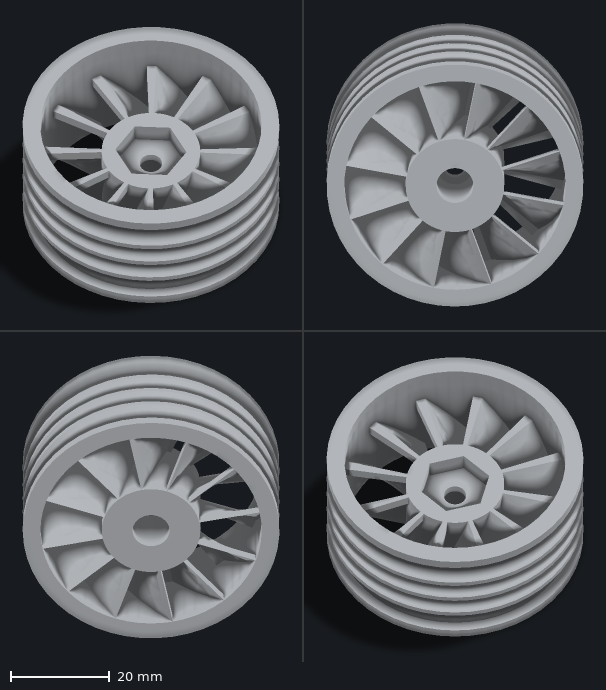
import cadquery as cq
import math

rim_diameter = 52.0
rim_width = 25.0
bore_diameter = 44.8
root_diameter = 48.0
flange_width = 2.05
rib_count = 3
rib_pitch = 5.0
rib_width = 1.1
rib_cone_depth = 1.2
rib_fillet_radius = 1.45
last_fillet_end = 2.9

hub_diameter = 19.95
hub_recess = 8.0
socket_across_flats = 12.5
socket_depth = 4.0
axle_diameter = 4.5
hub_bore_diameter = 7.5
axle_wall = 1.6

blade_count = 12
blade_bar_angle = 5.0
blade_thickness = 2.05
blade_overlap = 0.8
trim_margin = 0.5

rim_radius = rim_diameter / 2
root_radius = root_diameter / 2
bore_radius = bore_diameter / 2
groove_depth = rim_radius - root_radius
hub_height = rim_width - hub_recess


def make_rim():
    """Revolve the rim section, drawn from the top flange down to the bottom one."""
    top_rib_top = rim_width / 2 + (rib_count - 1) / 2 * rib_pitch + rib_width / 2
    cone_radius = rim_radius - rib_cone_depth
    upper_cone_top = rim_width - flange_width

    section = (
        cq.Workplane("XZ")
        .moveTo(bore_radius, rim_width)
        .lineTo(rim_radius, rim_width)
        .lineTo(rim_radius, upper_cone_top)
        .lineTo(root_radius, upper_cone_top - groove_depth)
        .lineTo(root_radius, top_rib_top + rib_fillet_radius)
    )
    for rib in range(rib_count):
        rib_top = top_rib_top - rib * rib_pitch
        rib_bottom = rib_top - rib_width
        if rib < rib_count - 1:
            fillet_end = rib_top - rib_pitch + rib_fillet_radius
        else:
            fillet_end = rib_bottom - last_fillet_end
        section = add_rib_fillet(section, rib_top)
        section = section.lineTo(rim_radius, rib_top)
        section = section.lineTo(rim_radius, rib_bottom)
        section = section.lineTo(cone_radius, rib_bottom - rib_cone_depth)
        section = section.tangentArcPoint((root_radius, fillet_end), relative=False)

    section = (
        section
        .lineTo(root_radius, flange_width)
        .lineTo(rim_radius, flange_width)
        .lineTo(rim_radius, 0)
        .lineTo(bore_radius, 0)
        .close()
    )
    return section.revolve(360, (0, 0, 0), (0, 1, 0))


def add_rib_fillet(section, rib_top):
    """Add the quarter round that leaves the groove root upright and ends flat on a rib."""
    inset = rib_fillet_radius * (1 - math.sqrt(0.5))
    middle = (root_radius + inset, rib_top + inset)
    return section.threePointArc(middle, (root_radius + rib_fillet_radius, rib_top))


def make_hub():
    """Build the hub plug without its openings."""
    return cq.Workplane("XY").circle(hub_diameter / 2).extrude(hub_height)


def make_hub_openings():
    """Build the hexagonal socket, the axle hole and the bore from below as one cutter."""
    socket_floor = hub_height - socket_depth
    across_corners = socket_across_flats / math.cos(math.pi / 6)
    socket = (
        cq.Workplane("XY", origin=(0, 0, socket_floor))
        .polygon(6, across_corners)
        .extrude(socket_depth)
    )
    axle_hole = cq.Workplane("XY").circle(axle_diameter / 2).extrude(hub_height)
    bore = cq.Workplane("XY").circle(hub_bore_diameter / 2).extrude(socket_floor - axle_wall)
    return socket.union(axle_hole).union(bore)


def polar(radius, angle):
    """Point at a radius and an angle in degrees."""
    return radius * math.cos(math.radians(angle)), radius * math.sin(math.radians(angle))


def sector(inner, outer, start, end):
    """Outline of a ring sector between two radii and two angles."""
    middle = (start + end) / 2
    return (
        cq.Workplane("XY")
        .moveTo(*polar(inner, start))
        .lineTo(*polar(outer, start))
        .threePointArc(polar(outer, middle), polar(outer, end))
        .lineTo(*polar(inner, end))
        .threePointArc(polar(inner, middle), polar(inner, start))
        .close()
    )


def make_blade():
    """Build a flat-topped bar and the sloping vane that runs down from its side face."""
    inner = hub_diameter / 2 - blade_overlap
    outer = bore_radius + blade_overlap
    sweep = 360 / blade_count
    twist_rate = sweep / (hub_height - blade_thickness)
    twist = twist_rate * hub_height
    vane_angle = twist_rate * blade_thickness

    twisted = sector(inner, outer, -twist, vane_angle - twist).twistExtrude(hub_height, twist)
    trim = sector(inner - trim_margin, outer + trim_margin, -sweep, 0).extrude(hub_height)
    vane = twisted.intersect(trim)

    bar = (
        sector(inner, outer, 0, blade_bar_angle)
        .extrude(blade_thickness)
        .translate((0, 0, hub_height - blade_thickness))
    )
    return vane.union(bar)


wheel = make_rim().union(make_hub())
blade = make_blade()
for index in range(blade_count):
    wheel = wheel.union(blade.rotate((0, 0, 0), (0, 0, 1), index * 360 / blade_count))

result = wheel.cut(make_hub_openings())